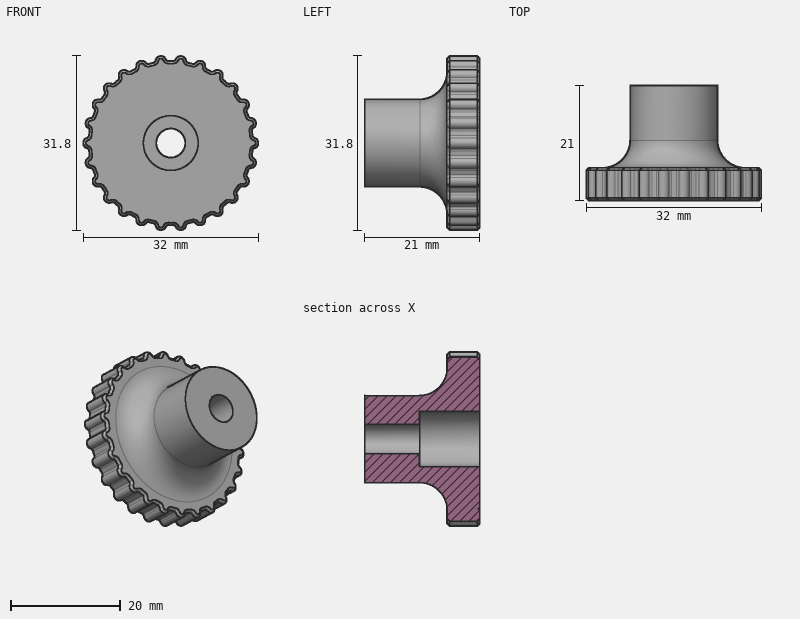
import cadquery as cq
import math

tooth_count = 26
root_radius = 15.0
tooth_radius = 1.0
tooth_root_fillet = 0.5
rim_thickness = 6.0
rim_chamfer = 0.5

neck_diameter = 16.0
neck_fillet = 5.0
neck_straight_length = 10.0
total_length = rim_thickness + neck_fillet + neck_straight_length

bore_diameter = 5.25
recess_diameter = 10.0
recess_depth = rim_thickness + neck_fillet

pitch_angle = 2 * math.pi / tooth_count
fillet_centre_radius = root_radius + tooth_root_fillet
fillet_to_tooth = tooth_radius + tooth_root_fillet
fillet_angle = math.acos(
    (root_radius**2 + fillet_centre_radius**2 - fillet_to_tooth**2)
    / (2 * root_radius * fillet_centre_radius)
)


def polar(radius, angle):
    return (radius * math.cos(angle), radius * math.sin(angle))


def between(start, end, fraction):
    return tuple(a + (b - a) * fraction for a, b in zip(start, end))


def toward(start, target, distance):
    return between(start, target, distance / math.dist(start, target))


def tooth_fillet_points(tooth_angle, side):
    """Points where one tooth flank fillet meets the root, its middle, and where it meets the tooth."""
    angle = tooth_angle + side * fillet_angle
    centre = polar(fillet_centre_radius, angle)
    on_root = polar(root_radius, angle)
    on_tooth = toward(centre, polar(root_radius, tooth_angle), tooth_root_fillet)
    middle = toward(centre, between(on_root, on_tooth, 0.5), tooth_root_fillet)
    return on_root, middle, on_tooth


def rim_outline():
    """Closed outline of the rim: round teeth blended into a root circle."""
    first_root = tooth_fillet_points(0, -1)[0]
    outline = cq.Workplane("XZ").moveTo(*first_root)
    for index in range(tooth_count):
        angle = index * pitch_angle
        _, rise_middle, rise_end = tooth_fillet_points(angle, -1)
        fall_end, fall_middle, fall_start = tooth_fillet_points(angle, 1)
        tip = polar(root_radius + tooth_radius, angle)
        valley = polar(root_radius, angle + pitch_angle / 2)
        next_root = polar(root_radius, angle + pitch_angle - fillet_angle)
        outline = (
            outline.threePointArc(rise_middle, rise_end)
            .threePointArc(tip, fall_start)
            .threePointArc(fall_middle, fall_end)
            .threePointArc(valley, next_root)
        )
    return outline.close()


def make_rim():
    rim = rim_outline().extrude(-rim_thickness)
    return rim.faces("<Y or >Y").chamfer(rim_chamfer)


def make_neck():
    """Cylinder that flares with a concave quarter arc where it meets the back of the rim."""
    neck_radius = neck_diameter / 2
    flare_radius = neck_radius + neck_fillet
    flare_end = rim_thickness + neck_fillet
    arc_offset = neck_fillet * math.sqrt(0.5)
    return (
        cq.Workplane("XY")
        .lineTo(flare_radius, 0)
        .lineTo(flare_radius, rim_thickness)
        .threePointArc((flare_radius - arc_offset, flare_end - arc_offset), (neck_radius, flare_end))
        .lineTo(neck_radius, total_length)
        .lineTo(0, total_length)
        .close()
        .revolve(360, (0, 0), (0, 1))
    )


def make_bore():
    through_hole = cq.Workplane("XZ").circle(bore_diameter / 2).extrude(-total_length)
    recess = cq.Workplane("XZ").circle(recess_diameter / 2).extrude(-recess_depth)
    return through_hole.union(recess)


result = make_rim().union(make_neck()).cut(make_bore())